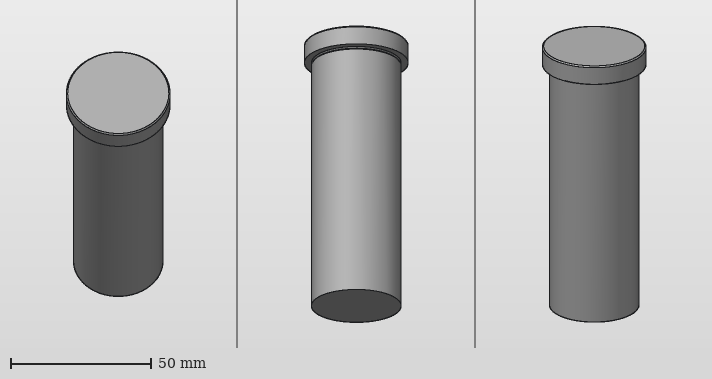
import cadquery as cq

total_height = 100.0
head_diameter = 37.0
head_height = 7.0
head_chamfer = 0.5
shank_diameter = 32.0
groove_depth = 0.5

head_radius = head_diameter / 2
shank_radius = shank_diameter / 2
groove_radius = shank_radius - groove_depth
head_bottom = total_height - head_height
groove_bottom = head_bottom - 2 * groove_depth

profile = (
    cq.Workplane("XZ")
    .moveTo(0, 0)
    .lineTo(shank_radius, 0)
    .lineTo(shank_radius, groove_bottom)
    .lineTo(groove_radius, groove_bottom + groove_depth)
    .lineTo(shank_radius, head_bottom)
    .lineTo(head_radius, head_bottom)
    .lineTo(head_radius, total_height - head_chamfer)
    .lineTo(head_radius - head_chamfer, total_height)
    .lineTo(0, total_height)
    .close()
)

result = profile.revolve(360, (0, 0), (0, 1))